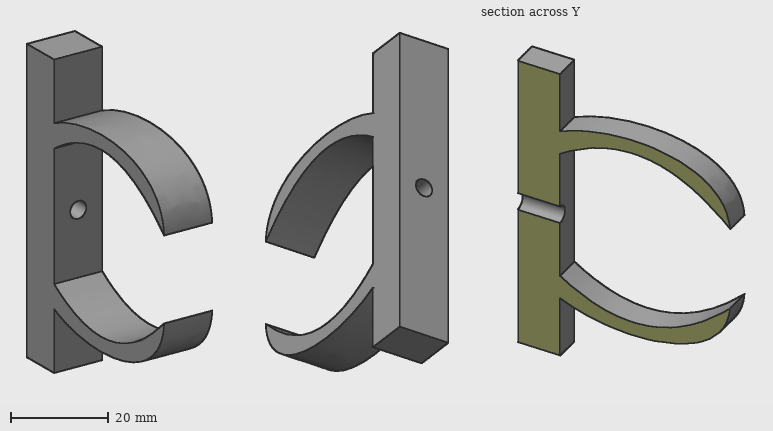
import cadquery as cq

plate_height = 70.0
plate_thickness = 10.0
width = 12.0
screw_hole_diameter = 4.0

reach = 50.1
tip_height = 9.8
outer_root_height = 20.8
inner_root_height = 15.1

outer_root_control = (24.4, 27.3)
outer_tip_control = (49.15, 25.2)
inner_root_control = (29.1, 27.85)
inner_tip_control = (43.1, 16.45)


def make_plate():
    """Rectangular plate with a screw hole through its middle along X."""
    plate = cq.Workplane("XY").box(
        plate_thickness, width, plate_height, centered=(False, True, True)
    )
    return plate.faces("<X").workplane().hole(screw_hole_diameter)


def make_upper_arm():
    """Curved arm that tapers to a sharp edge at its tip."""
    outer_root = (plate_thickness, outer_root_height)
    inner_root = (plate_thickness, inner_root_height)
    tip = (reach, tip_height)
    return (
        cq.Workplane("XZ", origin=(0, width / 2, 0))
        .moveTo(*outer_root)
        .bezier([outer_root, outer_root_control, outer_tip_control, tip])
        .bezier([tip, inner_tip_control, inner_root_control, inner_root])
        .close()
        .extrude(width)
    )


upper_arm = make_upper_arm()
lower_arm = upper_arm.mirror("XY")
result = make_plate().union(upper_arm).union(lower_arm)